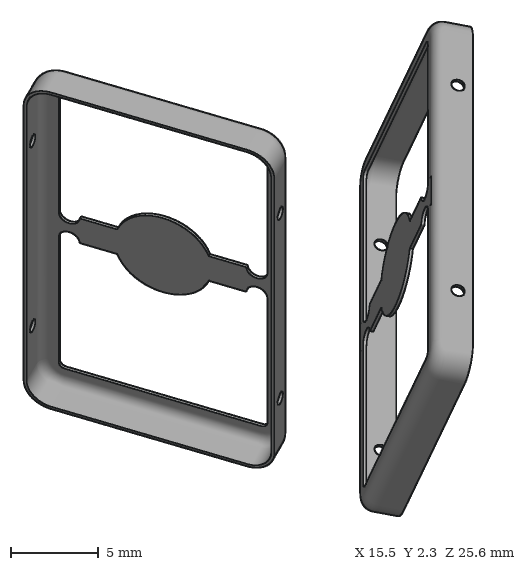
import cadquery as cq

width = 15.49
depth = 2.3
height = 25.65
wall = 0.2
corner_radius = 1.7
floor_edge_radius = 0.8

rim_width = 1.3
window_corner_radius = corner_radius - rim_width
window_width = width - 2 * rim_width
window_height = height - 2 * rim_width

disc_radius = 3.0
arm_half_height = 1.0
notch_radius = 0.65
notch_x = window_width / 2 - notch_radius
arm_tip_radius = 0.1

hole_diameter = 0.8
hole_spacing = 14.97
hole_from_open_side = 0.9

open_side_y = -depth / 2
floor_y = depth / 2 - wall


def block(size_x, size_z, start_y, length):
    """Rectangular block centred on the Y axis, extruded towards +Y."""
    plane = cq.Workplane("XZ", origin=(0, start_y, 0))
    return plane.rect(size_x, size_z).extrude(-length)


def rounded_block(size_x, size_z, start_y, length, radius):
    """Block with rounded corners running along Y."""
    return block(size_x, size_z, start_y, length).edges("|Y").fillet(radius)


def make_tray():
    """Thin tray with concentric fillets inside and outside the floor edge."""
    outer = rounded_block(width, height, open_side_y, depth, corner_radius)
    outer = outer.faces(">Y").edges().fillet(floor_edge_radius)
    cavity = rounded_block(
        width - 2 * wall, height - 2 * wall, open_side_y, depth - wall, corner_radius - wall
    )
    cavity = cavity.faces(">Y").edges().fillet(floor_edge_radius - wall)
    window = rounded_block(window_width, window_height, floor_y, wall, window_corner_radius)
    return outer.cut(cavity).cut(window)


def make_spider():
    """Disc and arms, level with the floor, with round notches beside the rim."""
    arms = block(window_width + rim_width, 2 * arm_half_height, floor_y, wall)
    notches = (
        cq.Workplane("XZ", origin=(0, floor_y, 0))
        .rect(2 * notch_x, 2 * arm_half_height, forConstruction=True)
        .vertices()
        .circle(notch_radius)
        .extrude(-wall)
    )
    arms = arms.cut(notches)
    tip_x = notch_x - notch_radius
    for x in (-tip_x, tip_x):
        for z in (-arm_half_height, arm_half_height):
            tip_edge = cq.selectors.NearestToPointSelector((x, floor_y + wall / 2, z))
            arms = arms.edges("|Y").edges(tip_edge).fillet(arm_tip_radius)
    disc = cq.Workplane("XZ", origin=(0, floor_y, 0)).circle(disc_radius).extrude(-wall)
    return arms.union(disc)


def make_side_holes():
    """Two cylinders along X that pierce both side walls."""
    hole_y = open_side_y + hole_from_open_side
    return (
        cq.Workplane("YZ", origin=(-width / 2, 0, 0))
        .pushPoints([(hole_y, -hole_spacing / 2), (hole_y, hole_spacing / 2)])
        .circle(hole_diameter / 2)
        .extrude(width)
    )


result = make_tray().union(make_spider()).cut(make_side_holes())